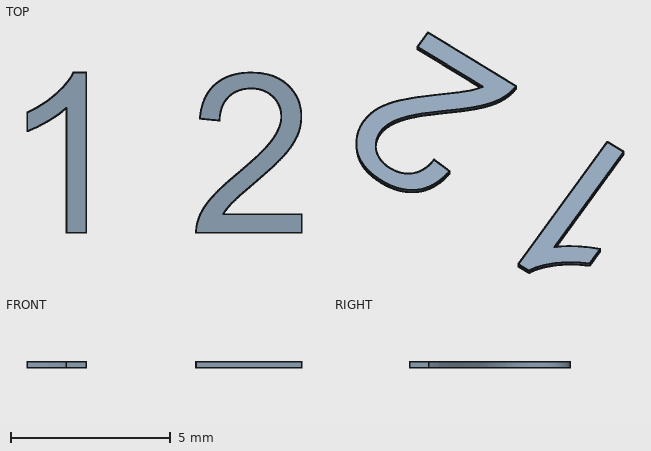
import cadquery as cq

total_width = 8.58
digit_height = 5.02
thickness = 0.2

one_width = 1.845
one_stem_width = 0.62
flag_bottom = 3.175
flag_top = 3.77
flag_root = 3.91
one_top_left = 1.44

two_width = 3.31
foot_height = 0.59
foot_inner_corner = 0.86
bowl_center_x = 1.73
bowl_inner_top = 4.51
bowl_inner_right = 2.67
bowl_outer_right = 3.3
bowl_mid_height = 3.64
tip_inner = (0.75, 3.51)
tip_outer = (0.12, 3.57)


def smooth_curve(outline, start, controls, end):
    """Add parabolic arcs that join smoothly halfway between neighbouring control points."""
    for control, following in zip(controls, controls[1:]):
        joint = ((control[0] + following[0]) / 2, (control[1] + following[1]) / 2)
        outline = outline.bezier([start, control, joint])
        start = joint
    return outline.bezier([start, controls[-1], end])


def make_digit_one():
    stem_left = one_width - one_stem_width
    outline = cq.Workplane("XY").moveTo(one_width, 0).lineTo(stem_left, 0).lineTo(stem_left, flag_root)
    outline = smooth_curve(outline, (stem_left, flag_root), [(1.0, 3.7), (0.28, 3.28)], (0, flag_bottom))
    outline = outline.lineTo(0, flag_top)
    outline = smooth_curve(
        outline, (0, flag_top), [(0.515, 4.01), (1.29, 4.69)], (one_top_left, digit_height)
    )
    return outline.lineTo(one_width, digit_height).close().extrude(thickness)


def make_digit_two(left):
    inner_top = (bowl_center_x, bowl_inner_top)
    outer_top = (bowl_center_x, digit_height)
    inner_side = (bowl_inner_right, bowl_mid_height)
    outer_side = (bowl_outer_right, bowl_mid_height)
    inner_corner = (foot_inner_corner, foot_height)

    outline = cq.Workplane("XY", origin=(left, 0, 0))
    outline = outline.moveTo(two_width, foot_height).lineTo(two_width, 0).lineTo(0, 0)
    neck_left = [(0, 0.22), (0.2, 0.76), (0.755, 1.415), (2.09, 2.51), (bowl_inner_right, 3.295)]
    outline = smooth_curve(outline, (0, 0), neck_left, inner_side)
    inner_right = [(bowl_inner_right, 4.01), (2.145, bowl_inner_top)]
    outline = smooth_curve(outline, inner_side, inner_right, inner_top)
    inner_left = [(1.29, bowl_inner_top), (0.755, 3.98)]
    outline = smooth_curve(outline, inner_top, inner_left, tip_inner)
    outline = outline.lineTo(*tip_outer)
    outer_left = [(0.18, 4.28), (1.03, digit_height)]
    outline = smooth_curve(outline, tip_outer, outer_left, outer_top)
    outer_right = [(2.46, digit_height), (bowl_outer_right, 4.22)]
    outline = smooth_curve(outline, outer_top, outer_right, outer_side)
    neck_right = [(bowl_outer_right, 3.33), (3.055, 2.75), (2.49, 2.11), (1.27, 1.09), (0.96, 0.755)]
    outline = smooth_curve(outline, outer_side, neck_right, inner_corner)
    return outline.close().extrude(thickness)


digit_one = make_digit_one()
digit_two = make_digit_two(total_width - two_width)

result = cq.Compound.makeCompound([digit_one.val(), digit_two.val()])